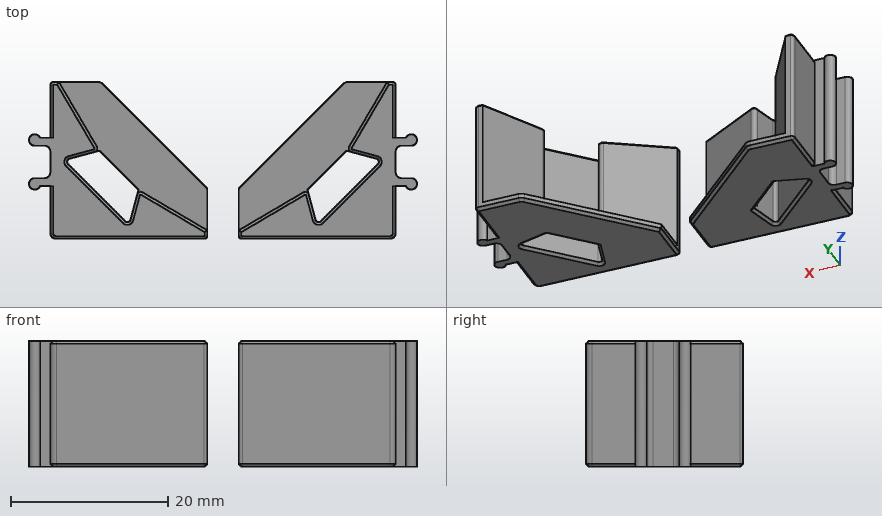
import cadquery as cq
import math

overall_length = 49.4
block_size = 20.0
height = 16.0
rail_reach = 2.7
chamfer = 0.37

main_corner_radius = 0.75
end_corner_radius = 0.45
floor_corner_radius = 1.0

floor_thickness = 1.0
floor_end_width = 6.4

tip_width = 1.1
lip_depth = 12.35
mouth_width = 7.0
notch_depth = 4.0
notch_flare = 30.0
notch_corner_radius = 0.4
lip_radius = 0.5

rail_gap = 4.1
rail_thickness = 1.05
bead_radius = 0.75
rail_root_radius = 0.75
root_strip_depth = 0.5
rail_offset = 0.2
rail_center_y = block_size / 2 - rail_offset


def diagonal_point(depth, across):
    """Point at a distance along the block's diagonal and a distance to the side of it."""
    return ((depth + across) / math.sqrt(2), (depth - across) / math.sqrt(2))


def round_upright_edge(solid, corner, radius):
    """Fillet the vertical edge that stands nearest to the given corner."""
    nearest = cq.selectors.NearestToPointSelector((*corner, solid.edges("|Z").val().Center().z))
    return solid.edges("|Z").edges(nearest).fillet(radius)


def blank():
    """Square block with its far corner cut off at 45 degrees."""
    solid = (
        cq.Workplane("XY")
        .polyline([
            (0, 0),
            (block_size, 0),
            (block_size, floor_end_width),
            (floor_end_width, block_size),
            (0, block_size),
        ])
        .close()
        .extrude(height)
    )
    solid = round_upright_edge(solid, (0, 0), main_corner_radius)
    solid = round_upright_edge(solid, (block_size, 0), end_corner_radius)
    solid = round_upright_edge(solid, (0, block_size), end_corner_radius)
    return round_upright_edge(solid, (floor_end_width, block_size), floor_corner_radius)


def notch_cutter():
    """Dovetail that passes through the full height, with rounded inner corners."""
    half_mouth = mouth_width / 2
    half_bottom = half_mouth + notch_depth * math.tan(math.radians(notch_flare))
    bottom_corners = [
        diagonal_point(lip_depth - notch_depth, half_bottom),
        diagonal_point(lip_depth - notch_depth, -half_bottom),
    ]
    cutter = (
        cq.Workplane("XY")
        .polyline([
            diagonal_point(lip_depth, half_mouth),
            *bottom_corners,
            diagonal_point(lip_depth, -half_mouth),
        ])
        .close()
        .extrude(height)
    )
    for corner in bottom_corners:
        cutter = round_upright_edge(cutter, corner, notch_corner_radius)
    return cutter


def throat_cutter():
    """Open wedge above the floor, from the tips of the block in to the notch mouth."""
    return (
        cq.Workplane("XY")
        .workplane(offset=floor_thickness)
        .polyline([
            (block_size, tip_width),
            diagonal_point(lip_depth, mouth_width / 2),
            diagonal_point(lip_depth, -mouth_width / 2),
            (tip_width, block_size),
            (block_size, block_size),
        ])
        .close()
        .extrude(height)
    )


def block():
    """Block with throat, notch, rounded lips and bevelled rims."""
    solid = blank().cut(notch_cutter()).cut(throat_cutter())
    for side in (-1, 1):
        lip = diagonal_point(lip_depth, side * mouth_width / 2)
        upper_lip = cq.selectors.NearestToPointSelector((*lip, (height + floor_thickness) / 2))
        solid = solid.edges("|Z").edges(upper_lip).fillet(lip_radius)
    return solid.faces("<Z or >Z").chamfer(chamfer)


def rail_strip():
    """Full-height channel section: a root strip with two bead-ended rails rounded into it."""
    half_gap = rail_gap / 2
    half_span = half_gap + rail_thickness
    bead_x = bead_radius - rail_reach
    bead_y = half_gap + bead_radius
    neck_x = bead_x + math.sqrt(bead_radius**2 - (half_span - bead_y)**2)
    strip = (
        cq.Workplane("XY")
        .center(0, rail_center_y)
        .moveTo(root_strip_depth, -half_span)
        .lineTo(root_strip_depth, half_span)
        .lineTo(neck_x, half_span)
        .threePointArc((-rail_reach, bead_y), (bead_x, half_gap))
        .lineTo(0, half_gap)
        .lineTo(0, -half_gap)
        .lineTo(bead_x, -half_gap)
        .threePointArc((-rail_reach, -bead_y), (neck_x, -half_span))
        .close()
        .extrude(height)
    )
    for side in (-1, 1):
        root = (0, rail_center_y + side * half_gap)
        strip = round_upright_edge(strip, root, rail_root_radius)
    return strip


def jaw(side):
    """One jaw of the facing pair: side -1 is the left one, side 1 its mirror image."""
    block_with_rails = block().union(rail_strip()).solids()
    left_jaw = block_with_rails.translate((rail_reach - overall_length / 2, 0, 0))
    return left_jaw if side < 0 else left_jaw.mirror("YZ")


jaws = [jaw(side) for side in (-1, 1)]

result = cq.Compound.makeCompound([body.val() for body in jaws])